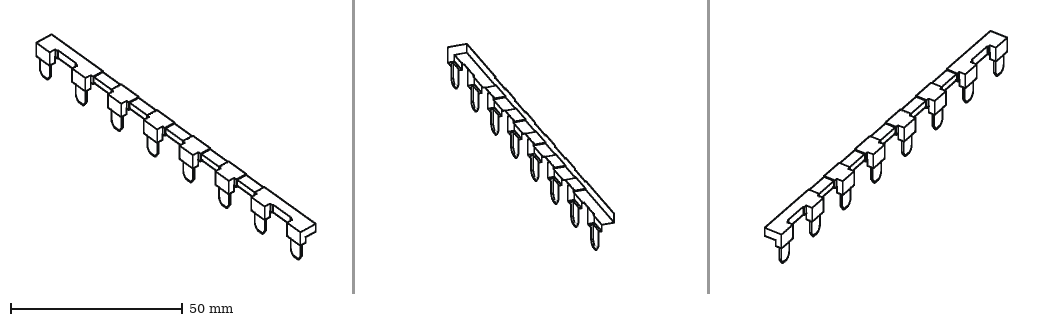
import cadquery as cq

length = 117.3
depth = 6.0
height = 12.0

block_count = 8
block_width = 6.0
block_height = 5.0
block_thickness = 2.1
pitch = (length - block_width) / (block_count - 1)

shoulder_depth = depth - block_thickness
shoulder_height = 2.9
shoulder_overhang = 0.9

link_depth = 3.5
link_inset = 0.4

pin_width = 4.3
pin_thickness = 0.7
pin_taper_height = 2.0
pin_taper_width = 1.2
pin_bevel_height = 0.8
pin_bevel_depth = 0.2

back = depth
pin_length = height - block_height
pin_center_y = block_thickness / 2
centers = [(i - (block_count - 1) / 2) * pitch for i in range(block_count)]


def box(x_min, x_max, y_min, y_max, z_min, z_max):
    """Box between the given limits."""
    solid = cq.Workplane("XY").box(x_max - x_min, y_max - y_min, z_max - z_min, centered=False)
    return solid.translate((x_min, y_min, z_min))


def make_block(x):
    """Front block that carries a pin."""
    half = block_width / 2
    return box(x - half, x + half, 0, block_thickness, -block_height, 0)


def make_shoulder(x):
    """Shoulder behind a block; it stops flush at the ends of the part."""
    half = block_width / 2 + shoulder_overhang
    x_min = max(x - half, -length / 2)
    x_max = min(x + half, length / 2)
    return box(x_min, x_max, back - shoulder_depth, back, -shoulder_height, 0)


def make_link(x_start, x_end, inset):
    """Link between two block centres, stepped in from the shoulders' top and bottom."""
    return box(x_start, x_end, back - link_depth, back, inset - shoulder_height, -inset)


def taper_outline(plane, width, taper_width, taper_height):
    """Pin outline that narrows on both sides towards a flat tip at z = 0."""
    half = width / 2
    tip_half = half - taper_width
    return (
        cq.Workplane(plane)
        .moveTo(-half, pin_length)
        .lineTo(-half, taper_height)
        .lineTo(-tip_half, 0)
        .lineTo(tip_half, 0)
        .lineTo(half, taper_height)
        .lineTo(half, pin_length)
        .close()
    )


def make_pin(x):
    """Flat pin, tapered at the sides and bevelled on front and back at its tip."""
    front_outline = taper_outline("XZ", pin_width, pin_taper_width, pin_taper_height)
    side_outline = taper_outline("YZ", pin_thickness, pin_bevel_depth, pin_bevel_height)
    blade = front_outline.extrude(pin_thickness, both=True)
    pin = blade.intersect(side_outline.extrude(pin_width, both=True))
    return pin.translate((x, pin_center_y, -height))


result = make_shoulder(centers[0])
for center in centers[1:]:
    result = result.union(make_shoulder(center))

for i in range(block_count - 1):
    is_end_link = i in (0, block_count - 2)
    inset = 0 if is_end_link else link_inset
    result = result.union(make_link(centers[i], centers[i + 1], inset))

for center in centers:
    result = result.union(make_block(center)).union(make_pin(center))